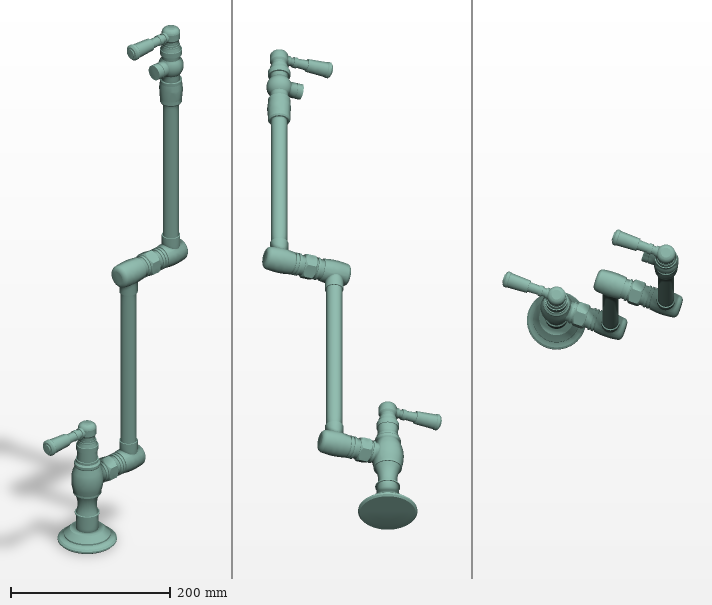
import cadquery as cq

TOTAL_HEIGHT = 683.0
POST_HEIGHT = 169.5
LOWER_ARM_HEIGHT = 90.0
MIDDLE_ARM_HEIGHT = 358.0
OUTLET_HEIGHT = 629.0
LOWER_PIPE_Y = 72.0
PIPE_SPACING = 74.0
UPPER_PIPE_Y = LOWER_PIPE_Y + PIPE_SPACING

FLANGE_RADIUS = 74.5 / 2
FLANGE_HEIGHT = 18.5
FLANGE_TOP_RADIUS = 22.0
FLANGE_STEP_RADIUS = 29.5
FLANGE_STEP_BOTTOM = 9.0
FLANGE_STEP_TOP = 11.0
RIM_HEIGHT = 6.0
RIM_BEVEL = 2.0
POST_RADIUS = 28.0 / 2
BEAD_RADIUS = 16.0
BEAD_BOTTOM = 40.0
BEAD_TOP = 42.0
WAIST_RADIUS = 12.0
WAIST_HEIGHT = 55.0
BULB_RADIUS = 40.0 / 2
BULB_FOOT_RADIUS = 18.0
BULB_FOOT_HEIGHT = 70.0
BULB_TOP_RADIUS = 16.0
BULB_TOP_HEIGHT = 108.5
BULB_RING_RADIUS = 16.5
SHOULDER_BASE_RADIUS = 14.5
SHOULDER_BASE_HEIGHT = 119.0
SHOULDER_RADIUS = 13.0

BONNET_HEIGHT = 37.0
COLLAR_RADIUS = 28.0 / 2
COLLAR_HEIGHT = 7.0
BONNET_TOP_RADIUS = 11.5
NECK_RADIUS = 20.0 / 2
KNOB_RADIUS = 11.5
KNOB_HEIGHT = 17.0
LEVER_LENGTH = 70.5
LEVER_DROP = 10.0

PIPE_RADIUS = 10.0
SOCKET_RADIUS = 11.5
SOCKET_REACH = 26.5
ELBOW_RADIUS = 16.0
ELBOW_END_RADIUS = 14.5
ELBOW_NOSE = 19.0
ELBOW_TAIL = 17.0

UNION_RADIUS = 13.0
UNION_RING_RADIUS = 14.5
UNION_RING_WIDTH = 3.0
UNION_RING_GAP = 1.7
HEX_ACROSS_CORNERS = 33.5
HEX_WIDTH = 16.0
HEX_CHAMFER = 3.0
HEX_OFFSET = 39.0

SPOUT_BULB_RADIUS = 32.0 / 2
SPOUT_NECK_RADIUS = 11.5
SLEEVE_RADIUS = 28.0 / 2
SLEEVE_BULGE = 15.0
SLEEVE_BOTTOM = 576.0
SLEEVE_TOP = 609.0
OUTLET_RADIUS = 20.0 / 2
OUTLET_REACH = 29.5
OUTLET_LIP = 7.5
OUTLET_GROOVE = 1.0


def turned(profile):
    """Revolve a profile about Z. Entries are (radius, height) for a straight
    side, or (mid radius, mid height, end radius, end height) for an arc."""
    outline = cq.Workplane("XZ").moveTo(0, profile[0][1])
    for entry in profile:
        if len(entry) == 2:
            outline = outline.lineTo(*entry)
        else:
            outline = outline.threePointArc(entry[:2], entry[2:])
    outline = outline.lineTo(0, profile[-1][-1]).close()
    return outline.revolve(360, (0, 0, 0), (0, 1, 0))


def disc(radius, bottom, top):
    return turned([(radius, bottom), (radius, top)])


def lay_front(body):
    """Turn a body that stands along +Z so that it points along -Y."""
    return body.rotate((0, 0, 0), (1, 0, 0), 90)


def lay_back(body):
    """Turn a body that stands along +Z so that it points along +Y."""
    return body.rotate((0, 0, 0), (1, 0, 0), -90)


def make_post():
    """Flange, waisted stem, bulb and shoulder up to the bonnet."""
    return turned([
        (FLANGE_RADIUS - RIM_BEVEL, 0),
        (FLANGE_RADIUS, RIM_BEVEL),
        (FLANGE_RADIUS, RIM_HEIGHT - RIM_BEVEL),
        (FLANGE_RADIUS - RIM_BEVEL, RIM_HEIGHT),
        (FLANGE_STEP_RADIUS, FLANGE_STEP_BOTTOM),
        (FLANGE_STEP_RADIUS, FLANGE_STEP_TOP),
        (FLANGE_TOP_RADIUS, FLANGE_HEIGHT),
        (POST_RADIUS, FLANGE_HEIGHT),
        (POST_RADIUS, BEAD_BOTTOM),
        (BEAD_RADIUS, BEAD_BOTTOM),
        (BEAD_RADIUS, BEAD_TOP),
        (POST_RADIUS, BEAD_TOP),
        (WAIST_RADIUS, WAIST_HEIGHT, BULB_FOOT_RADIUS - 1.5, BULB_FOOT_HEIGHT),
        (BULB_FOOT_RADIUS, BULB_FOOT_HEIGHT),
        (BULB_FOOT_RADIUS, BULB_FOOT_HEIGHT + 3.0),
        (BULB_RADIUS, LOWER_ARM_HEIGHT, BULB_TOP_RADIUS, BULB_TOP_HEIGHT),
        (BULB_RING_RADIUS, BULB_TOP_HEIGHT + 1.5),
        (BULB_RING_RADIUS, BULB_TOP_HEIGHT + 5.0),
        (SHOULDER_BASE_RADIUS, BULB_TOP_HEIGHT + 7.0),
        (SHOULDER_BASE_RADIUS, SHOULDER_BASE_HEIGHT),
        (SHOULDER_RADIUS, SHOULDER_BASE_HEIGHT),
        (SHOULDER_RADIUS, POST_HEIGHT - BONNET_HEIGHT),
    ])


def make_lever():
    """Ferrule, shank and flared grip along -Y from the knob axis."""
    ferrule_radius = 7.0
    groove_radius = 5.5
    groove_start = 14.0
    groove_end = 18.5
    ferrule_end = 23.0
    shank_start_radius = 5.8
    shank_end_radius = 6.5
    grip_start = 37.0
    grip_start_radius = 8.0
    grip_end_radius = 9.5
    cap_radius = 10.0
    cap_bevel = 2.0
    button_radius = 5.5
    button_length = 1.5
    cap_end = LEVER_LENGTH - button_length
    cap_start = cap_end - 5.5
    return lay_front(turned([
        (ferrule_radius, 0),
        (ferrule_radius, groove_start),
        (groove_radius, groove_start),
        (groove_radius, groove_end),
        (ferrule_radius, groove_end),
        (ferrule_radius, ferrule_end),
        (shank_start_radius, ferrule_end),
        (shank_end_radius, grip_start),
        (grip_start_radius, grip_start),
        (grip_end_radius, cap_start - 1.0),
        (cap_radius, cap_start),
        (cap_radius, cap_end - cap_bevel),
        (cap_radius - cap_bevel, cap_end),
        (button_radius, cap_end),
        (button_radius, LEVER_LENGTH),
    ]))


def make_bonnet(top):
    """Collar, neck and knob ending at height `top`, with the lever."""
    knob_base = BONNET_HEIGHT - KNOB_HEIGHT
    knob_bevel = 3.0
    knob_dome_height = 5.5
    knob_top_radius = 6.0
    cone_end = 11.5
    cone_lip_end = 13.0
    neck_step_radius = NECK_RADIUS + 1.0
    neck_step_end = 16.0
    stem = turned([
        (COLLAR_RADIUS, 0),
        (COLLAR_RADIUS, COLLAR_HEIGHT),
        (SHOULDER_RADIUS, COLLAR_HEIGHT),
        (BONNET_TOP_RADIUS, cone_end),
        (BONNET_TOP_RADIUS, cone_lip_end),
        (neck_step_radius, cone_lip_end),
        (neck_step_radius, neck_step_end),
        (NECK_RADIUS, neck_step_end),
        (NECK_RADIUS, knob_base),
        (KNOB_RADIUS, knob_base + knob_bevel),
        (KNOB_RADIUS, BONNET_HEIGHT - knob_dome_height),
        (KNOB_RADIUS - 1.7, BONNET_HEIGHT - 2.0, knob_top_radius, BONNET_HEIGHT),
    ])
    lever = make_lever().translate((0, 0, BONNET_HEIGHT - LEVER_DROP))
    return stem.union(lever).translate((0, 0, top - BONNET_HEIGHT))


def make_elbow(socket_end):
    """Elbow with its nose towards +Y and its socket reaching to `socket_end`."""
    nose_radius = 9.0
    barrel = turned([
        (ELBOW_END_RADIUS, -ELBOW_TAIL),
        (ELBOW_RADIUS, 0, ELBOW_END_RADIUS, ELBOW_NOSE - 4.0),
        (ELBOW_END_RADIUS - 2.0, ELBOW_NOSE - 1.5, nose_radius, ELBOW_NOSE),
    ])
    socket = disc(SOCKET_RADIUS, min(0, socket_end), max(0, socket_end))
    return lay_back(barrel).union(socket)


def make_nut():
    """Hexagon along Z, its corners turned down at both ends."""
    corner_radius = HEX_ACROSS_CORNERS / 2
    hexagon = (
        cq.Workplane("XY")
        .transformed(rotate=(0, 0, 90))
        .polygon(6, HEX_ACROSS_CORNERS)
        .extrude(HEX_WIDTH)
    )
    envelope = turned([
        (corner_radius - HEX_CHAMFER, 0),
        (corner_radius, HEX_CHAMFER),
        (corner_radius, HEX_WIDTH - HEX_CHAMFER),
        (corner_radius - HEX_CHAMFER, HEX_WIDTH),
    ])
    return hexagon.intersect(envelope)


def make_union(pipe_y, length, height):
    """Union running from the pipe axis at `pipe_y` back towards -Y by `length`."""
    body = disc(UNION_RADIUS, 0, length)
    first_ring = ELBOW_TAIL + UNION_RING_GAP
    for index in range(2):
        start = first_ring + index * (UNION_RING_WIDTH + UNION_RING_GAP)
        body = body.union(disc(UNION_RING_RADIUS, start, start + UNION_RING_WIDTH))
    last_ring = HEX_OFFSET + HEX_WIDTH / 2 + UNION_RING_GAP
    body = body.union(disc(UNION_RING_RADIUS, last_ring, last_ring + UNION_RING_WIDTH))
    nut = make_nut().translate((0, 0, HEX_OFFSET - HEX_WIDTH / 2))
    return lay_front(body.union(nut)).translate((0, pipe_y, height))


def make_pipe(pipe_y, bottom, top):
    return disc(PIPE_RADIUS, bottom, top).translate((0, pipe_y, 0))


def make_spout_valve():
    """Pipe sleeve, ball body and outlet below the upper bonnet."""
    sleeve = turned([
        (SLEEVE_RADIUS - 1.5, SLEEVE_BOTTOM),
        (SLEEVE_RADIUS, SLEEVE_BOTTOM + 2.0),
        (SLEEVE_RADIUS, SLEEVE_BOTTOM + 7.0),
        (SLEEVE_BULGE, SLEEVE_BOTTOM + 18.5, SLEEVE_RADIUS, SLEEVE_TOP - 4.0),
        (SLEEVE_RADIUS, SLEEVE_TOP),
    ])
    neck = disc(SPOUT_NECK_RADIUS, SLEEVE_TOP, TOTAL_HEIGHT - BONNET_HEIGHT)
    ball = cq.Workplane("XY").sphere(SPOUT_BULB_RADIUS).translate((0, 0, OUTLET_HEIGHT))
    lip_start = OUTLET_REACH - OUTLET_LIP
    groove_radius = OUTLET_RADIUS - OUTLET_GROOVE
    outlet = lay_front(turned([
        (OUTLET_RADIUS, 0),
        (OUTLET_RADIUS, lip_start - 2 * OUTLET_GROOVE),
        (groove_radius, lip_start - 2 * OUTLET_GROOVE),
        (groove_radius, lip_start),
        (OUTLET_RADIUS, lip_start),
        (OUTLET_RADIUS, OUTLET_REACH),
    ])).translate((0, 0, OUTLET_HEIGHT))
    return sleeve.union(neck).union(ball).union(outlet)


result = make_post().union(make_bonnet(POST_HEIGHT))

result = result.union(make_union(LOWER_PIPE_Y, LOWER_PIPE_Y, LOWER_ARM_HEIGHT))
upward_elbow = make_elbow(SOCKET_REACH)
result = result.union(upward_elbow.translate((0, LOWER_PIPE_Y, LOWER_ARM_HEIGHT)))
result = result.union(make_pipe(LOWER_PIPE_Y, LOWER_ARM_HEIGHT, MIDDLE_ARM_HEIGHT))

facing_elbow = make_elbow(-SOCKET_REACH).rotate((0, 0, 0), (0, 0, 1), 180)
result = result.union(facing_elbow.translate((0, LOWER_PIPE_Y, MIDDLE_ARM_HEIGHT)))
result = result.union(make_union(UPPER_PIPE_Y, PIPE_SPACING, MIDDLE_ARM_HEIGHT))
result = result.union(upward_elbow.translate((0, UPPER_PIPE_Y, MIDDLE_ARM_HEIGHT)))

result = result.union(make_pipe(UPPER_PIPE_Y, MIDDLE_ARM_HEIGHT, SLEEVE_TOP))
spout = make_spout_valve().union(make_bonnet(TOTAL_HEIGHT))
result = result.union(spout.translate((0, UPPER_PIPE_Y, 0)))